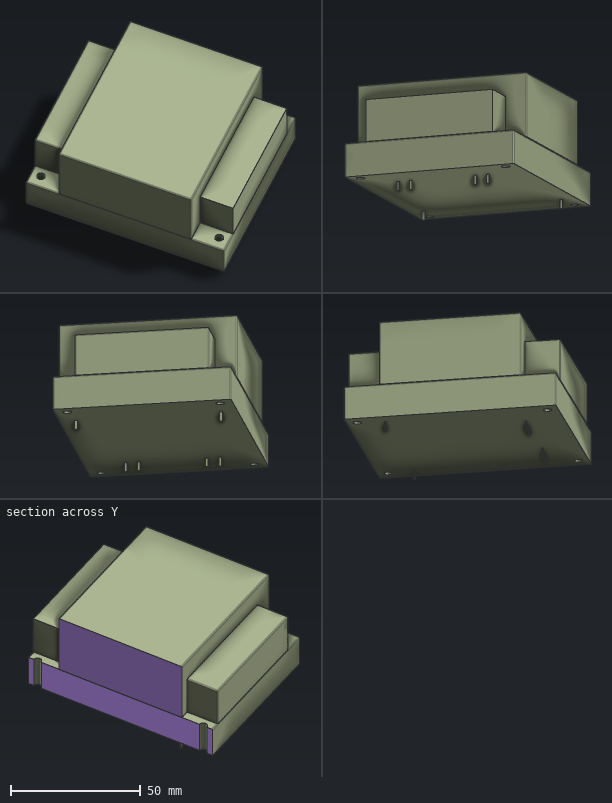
import cadquery as cq

base_length = 83.5
base_width = 70.0
base_height = 13.4
edge_radius = 0.5

core_length = 55.8
core_top = 39.0

cover_length = (base_length - core_length) / 2
cover_width = 52.5
cover_top = 30.0
cover_center_x = (core_length + cover_length) / 2

hole_diameter = 3.2
hole_spacing_x = 75.0
hole_spacing_y = 60.0

pin_length = 3.6
pin_thickness = 0.5
pin_row_spacing = 53.5
wide_pin_width = 1.3
wide_pin_y = 28.5
narrow_pin_width = 1.0
narrow_pin_inner_y = 13.35
narrow_pin_outer_y = 18.55


def block(size_x, size_y, bottom, top, center_x=0, center_y=0):
    """Upright box between two heights, centred on a point in plan."""
    box = cq.Workplane("XY").box(size_x, size_y, top - bottom, centered=(True, True, False))
    return box.translate((center_x, center_y, bottom))


def rounded_block(size_x, size_y, bottom, top):
    """Box on the Z axis with its upright and top edges rounded."""
    return block(size_x, size_y, bottom, top).edges("|Z or >Z").fillet(edge_radius)


def make_base():
    base = rounded_block(base_length, base_width, 0, base_height)
    holes = (
        cq.Workplane("XY")
        .rect(hole_spacing_x, hole_spacing_y, forConstruction=True)
        .vertices()
        .circle(hole_diameter / 2)
        .extrude(base_height)
    )
    return base.cut(holes)


def make_core():
    return rounded_block(core_length, base_width, base_height, core_top)


def make_plain_cover():
    """Sharp-edged cover at the +X end."""
    return block(cover_length, cover_width, base_height, cover_top, cover_center_x)


def make_rounded_cover():
    """Cover at the -X end, rounded except where it meets the core and the base."""
    cover = block(cover_length, cover_width, base_height, cover_top, -cover_center_x)
    return cover.edges("(<X and |Z) or (>Z and (not >X))").fillet(edge_radius)


def make_pin(x, y, pin_width):
    """Flat pin hanging from the underside of the base."""
    return block(pin_thickness, pin_width, -pin_length, 0, x, y)


base = make_base()
core = make_core()
plain_cover = make_plain_cover()
rounded_cover = make_rounded_cover()

wide_pins = []
narrow_pins = []
for side in (-1, 1):
    wide_pins.append(make_pin(-pin_row_spacing / 2, side * wide_pin_y, wide_pin_width))
    for pin_y in (narrow_pin_inner_y, narrow_pin_outer_y):
        narrow_pins.append(make_pin(pin_row_spacing / 2, side * pin_y, narrow_pin_width))

result = cq.Compound.makeCompound(
    [
        base.val(),
        core.val(),
        plain_cover.val(),
        rounded_cover.val(),
        *[pin.val() for pin in wide_pins],
        *[pin.val() for pin in narrow_pins],
    ]
)